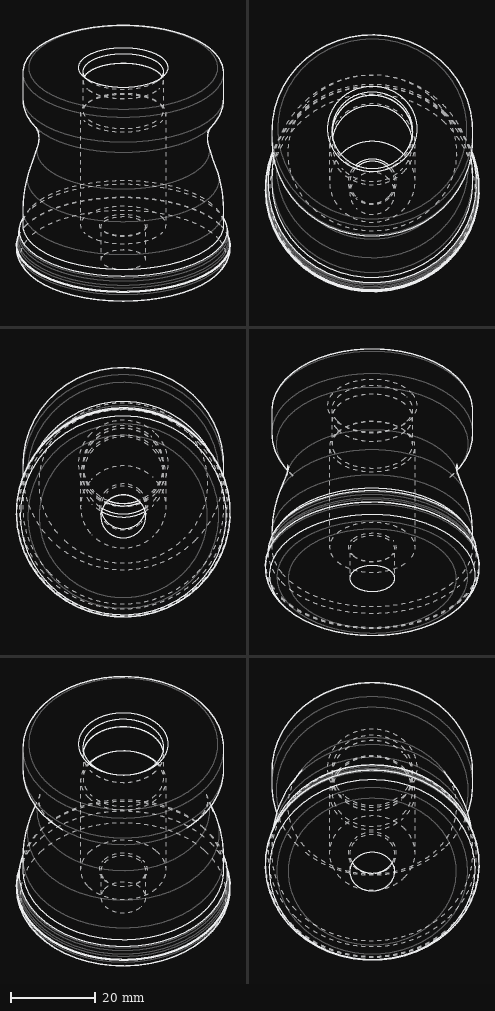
import cadquery as cq

height = 50.8
base_radius = 25.4

joint_height = 9.15
skirt_top = 13.05
bulge_top = 21.25
cone_top = 28.75
waist_height = 31.95
waist_top = 39.55
shoulder_top = 42.8

handle_radius = 23.8
shoulder_start_radius = 22.75
bulge_end_radius = 22.75
cone_end_radius = 20.45
waist_radius = 20.0
top_fillet = 1.4

bore_radius = 9.55
bore_chamfer = 1.05
bore_mouth_depth = 3.55
sleeve_radius = 9.5
sleeve_bottom = 39.3
cavity_radius = 10.1

chamfer_bottom = 7.75
chamfer_bottom_radius = 24.7
upper_land = ((24.8, 7.35), (24.85, 6.55))
middle_land = ((24.95, 5.5), (25.1, 4.9))
rim_ledge = ((25.25, 4.05), (base_radius, 3.85))
rim_bottom = 3.25
rim_arc_end = (24.4, 1.0)
under_bevel_end = (22.6, 0.4)
foot_radius = 19.9
flare_sag = 0.025

hole_radius = 5.3
hole_chamfer = 0.4
hole_chamfer_angle = 90


def turn(profile):
    """Solid of revolution of a closed half outline about the Z axis."""
    return profile.revolve(360, (0, 0, 0), (0, 1, 0))


def flare_middle(start, end):
    """Middle point of a shallow hollow arc between two outline points."""
    return ((start[0] + end[0]) / 2 - flare_sag, (start[1] + end[1]) / 2)


def make_base():
    """Low disc with a stepped, flared rim and a chamfered centre hole."""
    profile = (
        cq.Workplane("XZ")
        .moveTo(0, joint_height)
        .lineTo(handle_radius, joint_height)
        .lineTo(chamfer_bottom_radius, chamfer_bottom)
        .lineTo(*upper_land[0])
        .lineTo(*upper_land[1])
        .threePointArc(flare_middle(upper_land[1], middle_land[0]), middle_land[0])
        .lineTo(*middle_land[1])
        .threePointArc(flare_middle(middle_land[1], rim_ledge[0]), rim_ledge[0])
        .lineTo(*rim_ledge[1])
        .lineTo(base_radius, rim_bottom)
        .tangentArcPoint(rim_arc_end, relative=False)
        .lineTo(*under_bevel_end)
        .lineTo(foot_radius, 0)
        .lineTo(0, 0)
        .close()
    )
    disc = turn(profile)
    return disc.faces(">Z").workplane(origin=(0, 0, joint_height)).cskHole(
        2 * hole_radius, 2 * (hole_radius + hole_chamfer), hole_chamfer_angle
    )


def make_handle_blank():
    """Waisted outline turned about Z, with a rounded top edge."""
    profile = (
        cq.Workplane("XZ")
        .moveTo(0, joint_height)
        .lineTo(handle_radius, joint_height)
        .lineTo(handle_radius, skirt_top)
        .tangentArcPoint((bulge_end_radius, bulge_top), relative=False)
        .lineTo(cone_end_radius, cone_top)
        .threePointArc((waist_radius, waist_height), (shoulder_start_radius, waist_top))
        .tangentArcPoint((handle_radius, shoulder_top), relative=False)
        .lineTo(handle_radius, height)
        .lineTo(0, height)
        .close()
    )
    return turn(profile).faces(">Z").edges().fillet(top_fillet)


def make_bore():
    """Stepped bore that runs through the whole handle."""
    mouth_bottom = height - bore_mouth_depth
    cavity_top = sleeve_bottom - (cavity_radius - sleeve_radius)
    profile = (
        cq.Workplane("XZ")
        .moveTo(0, joint_height)
        .lineTo(cavity_radius, joint_height)
        .lineTo(cavity_radius, cavity_top)
        .lineTo(sleeve_radius, sleeve_bottom)
        .lineTo(sleeve_radius, mouth_bottom)
        .lineTo(bore_radius, mouth_bottom)
        .lineTo(bore_radius, height - bore_chamfer)
        .lineTo(bore_radius + bore_chamfer, height)
        .lineTo(0, height)
        .close()
    )
    return turn(profile)


base = make_base()
handle = make_handle_blank().cut(make_bore())

result = cq.Compound.makeCompound([base.val(), handle.val()])